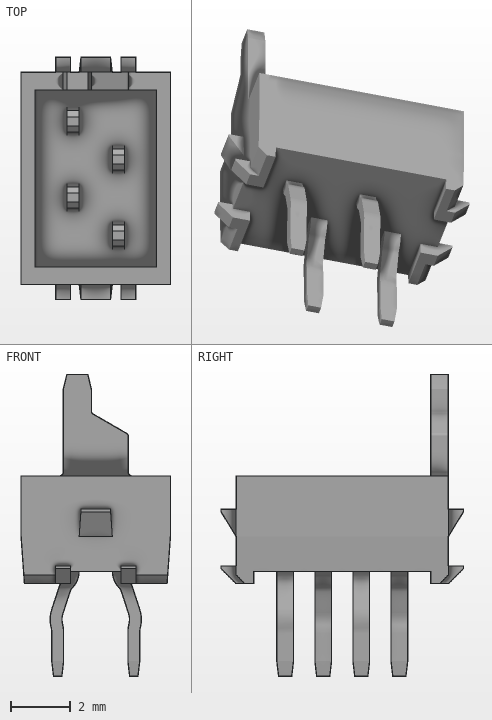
import cadquery as cq
import math


overall_y = 8.11
overall_height = 10.1

body_x = 5.0
body_y = 7.1
body_top = 3.61
taper_top = 1.58
taper_inset = 0.11
end_wall = 0.6
cavity_x = 4.06
cavity_y = body_y - 2 * end_wall
floor_top = 1.7
floor_fillet = 0.1
recess_top = 0.4
lip_chamfer = 0.29
end_y = body_y / 2

hook_reach = (overall_y - body_y) / 2
hook_tip = 0.09
foot_width = 0.5
foot_x = 1.09
foot_top = hook_reach + hook_tip
lip_gap = 2 * foot_x - foot_width
latch_top = 2.49
latch_width_bottom = 1.11
latch_width_top = 0.98

tower_half = 1.09
tower_height = 3.39
tower_top_z = body_top + tower_height
tower_step_x = -0.14
tower_step_z = body_top + 2.1
tower_slope = math.radians(30)
tower_tip_drop = 0.5
tower_tip_inset = 0.12
tower_fillet = 0.1
tower_base_fillet = 0.12

row_pitch = 1.27
blade_x = 0.76
leg_x = row_pitch
pin_thickness = 0.4
blade_width = 0.71
blade_top = body_top
blade_chamfer = 0.2
blade_fillet = 0.1
leg_width = 0.57
leg_bottom = body_top + tower_height - overall_height
leg_tip_height = 0.5
leg_tip_thickness = 0.28
leg_tip_width = 0.44

shoulder_radius = 0.56
shoulder_lean = math.radians(45)
shank_radius = 0.5
shank_lean = math.radians(18)
knee_radius = 0.85
knee_lean = math.radians(-14)
ankle_radius = 0.97


def centred_box(size_x, size_y, z_low, z_high):
    """Box centred on the Z axis between two heights."""
    box = cq.Workplane("XY").box(size_x, size_y, z_high - z_low, centered=(True, True, False))
    return box.translate((0, 0, z_low))


def prism_along_y(points, y_start, y_end):
    """Solid from an (x, z) outline running from y_start to y_end."""
    prism = cq.Workplane("XZ").polyline(points).close().extrude(y_start - y_end)
    return prism.translate((0, y_start, 0))


def prism_along_x(points, width):
    """Solid from a (y, z) outline, centred on x = 0."""
    return cq.Workplane("YZ").polyline(points).close().extrude(width / 2, both=True)


def make_housing():
    half_x = body_x / 2
    bottom_x = half_x - taper_inset
    section = [
        (-bottom_x, 0),
        (bottom_x, 0),
        (half_x, taper_top),
        (half_x, body_top),
        (-half_x, body_top),
        (-half_x, taper_top),
    ]
    housing = prism_along_y(section, -end_y, end_y)
    housing = housing.faces("<Z").edges("|X").chamfer(lip_chamfer)
    cavity = centred_box(cavity_x, cavity_y, floor_top, body_top)
    cavity = cavity.faces("<Z").edges("|Y").fillet(floor_fillet)
    recess = centred_box(body_x, cavity_y, 0, recess_top)
    gap = centred_box(lip_gap, body_y, 0, recess_top)
    return housing.cut(cavity).cut(recess).cut(gap)


def make_foot(x):
    """Barbed foot under the -Y wall."""
    tip_y = -end_y - hook_reach
    outline = [
        (-end_y + end_wall, 0),
        (-end_y, 0),
        (tip_y, foot_top - hook_tip),
        (tip_y, foot_top),
        (-end_y + end_wall, foot_top),
    ]
    return prism_along_x(outline, foot_width).translate((x, 0, 0))


def make_latch():
    """Wedge on the -Y wall, narrowing towards its top."""
    tip_y = -end_y - hook_reach
    side = [
        (-end_y, taper_top),
        (tip_y, latch_top - hook_tip),
        (tip_y, latch_top),
        (-end_y, latch_top),
    ]
    front = [
        (-latch_width_bottom / 2, taper_top),
        (latch_width_bottom / 2, taper_top),
        (latch_width_top / 2, latch_top),
        (-latch_width_top / 2, latch_top),
    ]
    wedge = prism_along_x(side, latch_width_bottom)
    return wedge.intersect(prism_along_y(front, tip_y, -end_y))


def base_fillet(side):
    """Concave strip between the tower's side and the housing top."""
    wall_x = side * tower_half
    r = tower_base_fillet
    outline = (
        cq.Workplane("XZ", origin=(0, end_y, 0))
        .moveTo(wall_x, body_top)
        .lineTo(wall_x + side * r, body_top)
        .radiusArc((wall_x, body_top + r), side * r)
        .close()
    )
    return outline.extrude(end_wall)


def make_tower():
    shoulder_z = tower_step_z - (tower_half - tower_step_x) * math.tan(tower_slope)
    tip_low = tower_top_z - tower_tip_drop
    outline = [
        (-tower_half, body_top),
        (tower_half, body_top),
        (tower_half, shoulder_z),
        (tower_step_x, tower_step_z),
        (tower_step_x, tip_low),
        (tower_step_x - tower_tip_inset, tower_top_z),
        (-tower_half + tower_tip_inset, tower_top_z),
        (-tower_half, tip_low),
    ]
    tower = prism_along_y(outline, end_y - end_wall, end_y)
    for x, z in [(tower_step_x, tower_step_z), (tower_half, shoulder_z)]:
        corner = cq.selectors.NearestToPointSelector((x, end_y - end_wall / 2, z))
        tower = tower.edges("|Y").edges(corner).fillet(tower_fillet)
    return tower.union(base_fillet(-1)).union(base_fillet(1))


def make_blade():
    """Upright contact blade with a chamfered top and a flared root."""
    half = blade_width / 2
    root = half + blade_fillet
    outline = (
        cq.Workplane("YZ")
        .moveTo(-root, recess_top)
        .lineTo(root, recess_top)
        .lineTo(root, floor_top)
        .radiusArc((half, floor_top + blade_fillet), blade_fillet)
        .lineTo(half, blade_top - blade_chamfer)
        .lineTo(half - blade_chamfer, blade_top)
        .lineTo(blade_chamfer - half, blade_top)
        .lineTo(-half, blade_top - blade_chamfer)
        .lineTo(-half, floor_top + blade_fillet)
        .radiusArc((-root, floor_top), blade_fillet)
        .close()
    )
    return outline.extrude(pin_thickness / 2, both=True).translate((blade_x, 0, 0))


def bend_step(radius, lean_from, lean_to):
    """Outward and downward travel of a bend between two leans."""
    turn = math.copysign(radius, lean_to - lean_from)
    out = turn * (math.cos(lean_from) - math.cos(lean_to))
    down = turn * (math.sin(lean_to) - math.sin(lean_from))
    return out, down


def make_leg():
    """Bent solder leg below the housing, on the +X side."""
    bends = [
        (shoulder_radius, 0, shoulder_lean),
        (shank_radius, shoulder_lean, shank_lean),
        (knee_radius, shank_lean, knee_lean),
        (ankle_radius, knee_lean, 0),
    ]
    bend_out = sum(bend_step(*bend)[0] for bend in bends)
    shank_out = leg_x - blade_x - bend_out
    shank_down = shank_out / math.tan(shank_lean)

    x, z = blade_x, recess_top
    path = cq.Workplane("XZ").moveTo(x, z)
    for radius, lean_from, lean_to in bends:
        if lean_from == shank_lean:
            x += shank_out
            z -= shank_down
            path = path.lineTo(x, z)
        out, down = bend_step(radius, lean_from, lean_to)
        x += out
        z -= down
        path = path.radiusArc((x, z), math.copysign(radius, lean_from - lean_to))
    tip_top = leg_bottom + leg_tip_height
    path = path.lineTo(x, tip_top)

    start = cq.Workplane("XY", origin=(blade_x, 0, recess_top))
    leg = start.rect(pin_thickness, leg_width).sweep(path)
    tip = (
        cq.Workplane("XY", origin=(leg_x, 0, tip_top))
        .rect(pin_thickness, leg_width)
        .workplane(offset=-leg_tip_height)
        .rect(leg_tip_thickness, leg_tip_width)
        .loft()
    )
    return leg.union(tip)


result = make_housing().union(make_tower())

hooks = make_latch().union(make_foot(-foot_x)).union(make_foot(foot_x))
result = result.union(hooks).union(hooks.mirror("XZ"))

right_pin = make_blade().union(make_leg())
left_pin = right_pin.mirror("YZ")
pins = [right_pin, left_pin, right_pin, left_pin]
first_pin_y = -row_pitch * (len(pins) - 1) / 2
for index, pin in enumerate(pins):
    result = result.union(pin.translate((0, first_pin_y + index * row_pitch, 0)))